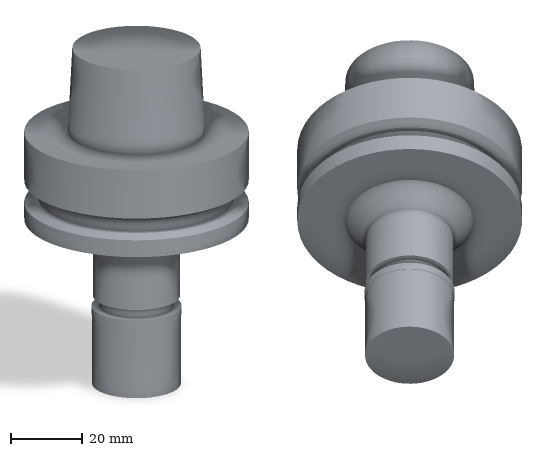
import cadquery as cq

total_length = 100.0

nut_diameter = 25.3
lower_nut_diameter = 25.0
neck_diameter = 21.0
shank_diameter = 24.5
cone_top_diameter = 36.0
flange_diameter = 63.0
groove_diameter = 55.0
taper_base_diameter = 38.3
taper_tip_diameter = 36.0

lower_nut_top = 21.0
nut_top = 23.2
neck_top = 26.2
shank_top = 43.0
flange_bottom = 49.0
flange_top = 75.0
taper_start = 77.0

lower_rim_height = 5.0
groove_bottom = 55.3
groove_top = 59.0
upper_rim_bottom = 60.5
groove_mouth_diameter = 58.0

section = [
    (0, 0),
    (lower_nut_diameter, 0),
    (lower_nut_diameter, lower_nut_top),
    (nut_diameter, lower_nut_top),
    (nut_diameter, nut_top),
    (neck_diameter, nut_top),
    (neck_diameter, neck_top),
    (shank_diameter, neck_top),
    (shank_diameter, shank_top),
    (cone_top_diameter, flange_bottom),
    (flange_diameter, flange_bottom),
    (flange_diameter, flange_bottom + lower_rim_height),
    (groove_mouth_diameter, groove_bottom),
    (groove_diameter, groove_bottom),
    (groove_diameter, groove_top),
    (groove_mouth_diameter, groove_top),
    (flange_diameter, upper_rim_bottom),
    (flange_diameter, flange_top),
    (taper_base_diameter, flange_top),
    (taper_base_diameter, taper_start),
    (taper_tip_diameter, total_length),
    (0, total_length),
]

result = (
    cq.Workplane("XZ")
    .polyline([(diameter / 2, height) for diameter, height in section])
    .close()
    .revolve(360, (0, 0, 0), (0, 1, 0))
)